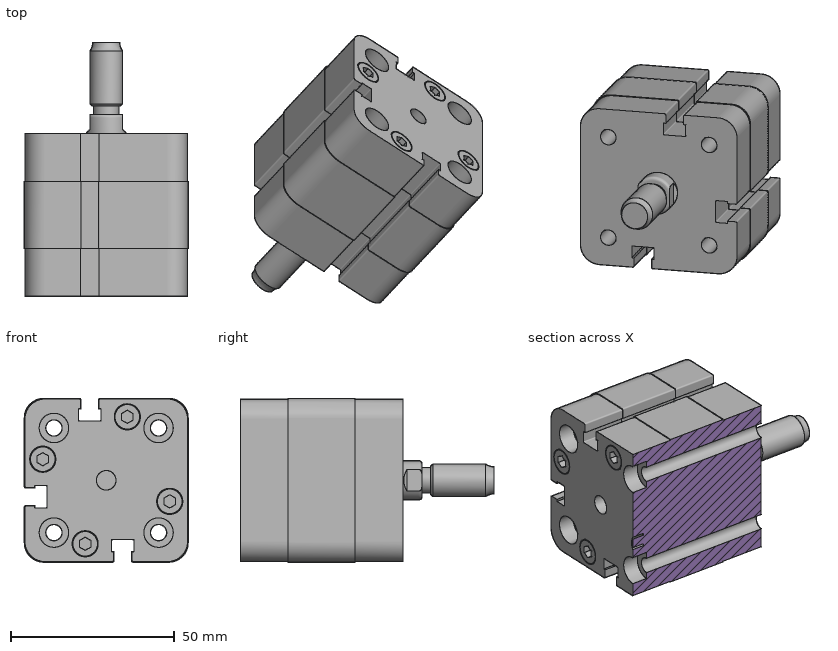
import cadquery as cq
import math

OVERALL_LENGTH = 77.5

BARREL_WIDTH = 50.1
CAP_WIDTH = 49.6
CORNER_RADIUS = 6.05
REAR_CAP_END = 14.6
BARREL_END = 34.95
HOUSING_LENGTH = 49.7

SLOT_OFFSET = 5.0
CAP_NECK_WIDTH = 5.6
CAP_SLOT_WIDTH = 7.0
CAP_FLOOR_HEIGHT = 18.05
BARREL_NECK_WIDTH = 5.4
BARREL_SLOT_WIDTH = 6.8
BARREL_FLOOR_HEIGHT = 18.1
SLOT_SHOULDER_HEIGHT = 21.8
SLOT_MOUTH_RADIUS = 0.5
SLOT_FLOOR_RADIUS = 0.3
SLOT_CLEARANCE = 0.8
SLOT_ANGLES = (0, 90, 180)

MOUNT_SPACING = 31.9
MOUNT_DIAMETER = 4.9
MOUNT_BORE_DIAMETER = 9.0
MOUNT_BORE_DEPTH = 5.3

SCREW_X = 6.4
SCREW_Z = 19.4
SCREW_ANGLES = (0, 90, 180, 270)
SCREW_BORE_DIAMETER = 8.0
SCREW_HEAD_DIAMETER = 7.5
SCREW_HEAD_HEIGHT = 4.0
SOCKET_ACROSS_FLATS = 3.5
SOCKET_DEPTH = 3.0
HALF_FACET = math.pi / 6

CENTRE_HOLE_DIAMETER = 6.0
CENTRE_HOLE_DEPTH = 5.0

ROD_DIAMETER = 12.0
ROD_SHOULDER_Y = 55.5
ROD_ROUNDING = 1.0
FLATS_WIDTH = 10.0
FLATS_START_Y = 50.9
NECK_DIAMETER = 7.9
THREAD_DIAMETER = 10.0
THREAD_START_Y = 58.05
THREAD_CHAMFER = 0.7
THREAD_END_Y = 74.9
TIP_DIAMETER = 8.3
TIP_HOLLOW = 0.2


def prism(outline, start, end):
    """Extrude an outline drawn in the XZ plane from y = start to y = end."""
    return outline.extrude(start - end).translate((0, start, 0))


def sketch():
    return cq.Workplane("XZ")


def turned(shape, angle):
    """Turn a shape about the rod axis, from +Z towards -X."""
    return shape.rotate((0, 0, 0), (0, 1, 0), -angle)


def housing_block(width, start, end):
    block = prism(sketch().rect(width, width), start, end)
    return block.edges("|Y").fillet(CORNER_RADIUS)


def slot_cutter(face, neck_width, slot_width, floor, start, end):
    """T-slot with a rounded mouth, entering from a top face at z = face down to z = floor."""
    above = face + SLOT_CLEARANCE
    neck = neck_width / 2
    mouth = neck + SLOT_MOUTH_RADIUS
    opening = (
        sketch()
        .moveTo(-mouth, above)
        .lineTo(-mouth, face)
        .radiusArc((-neck, face - SLOT_MOUTH_RADIUS), SLOT_MOUTH_RADIUS)
        .lineTo(-neck, floor + SLOT_FLOOR_RADIUS)
        .lineTo(neck, floor + SLOT_FLOOR_RADIUS)
        .lineTo(neck, face - SLOT_MOUTH_RADIUS)
        .radiusArc((mouth, face), SLOT_MOUTH_RADIUS)
        .lineTo(mouth, above)
        .close()
    )
    channel_height = SLOT_SHOULDER_HEIGHT - floor
    channel_centre = floor + channel_height / 2
    channel = prism(sketch().center(0, channel_centre).rect(slot_width, channel_height), start, end)
    channel = channel.faces("<Z").edges("|Y").fillet(SLOT_FLOOR_RADIUS)
    return prism(opening, start, end).union(channel).translate((-SLOT_OFFSET, 0, 0))


def housing_section(block, cutter):
    for angle in SLOT_ANGLES:
        block = block.cut(turned(cutter, angle))
    return block


def cap(start, end):
    cutter = slot_cutter(CAP_WIDTH / 2, CAP_NECK_WIDTH, CAP_SLOT_WIDTH, CAP_FLOOR_HEIGHT, start, end)
    return housing_section(housing_block(CAP_WIDTH, start, end), cutter)


def barrel(start, end):
    cutter = slot_cutter(
        BARREL_WIDTH / 2, BARREL_NECK_WIDTH, BARREL_SLOT_WIDTH, BARREL_FLOOR_HEIGHT, start, end
    )
    return housing_section(housing_block(BARREL_WIDTH, start, end), cutter)


def mounting_holes():
    def corners():
        return sketch().rect(MOUNT_SPACING, MOUNT_SPACING, forConstruction=True).vertices()

    through = prism(corners().circle(MOUNT_DIAMETER / 2), 0, HOUSING_LENGTH)
    bores = prism(corners().circle(MOUNT_BORE_DIAMETER / 2), 0, MOUNT_BORE_DEPTH)
    return through.union(bores)


def screw_ring():
    """Clearance ring around a flush screw head."""
    rim = sketch().center(SCREW_X, SCREW_Z).circle(SCREW_BORE_DIAMETER / 2).circle(SCREW_HEAD_DIAMETER / 2)
    return prism(rim, 0, SCREW_HEAD_HEIGHT)


def screw_socket(angle):
    """Hexagon socket of the screw at the given angle, always with one corner pointing up."""
    turn = math.radians(angle)
    x = SCREW_X * math.cos(turn) - SCREW_Z * math.sin(turn)
    z = SCREW_X * math.sin(turn) + SCREW_Z * math.cos(turn)
    across_corners = SOCKET_ACROSS_FLATS / math.cos(HALF_FACET)
    hexagon = sketch().polygon(6, across_corners)
    return turned(prism(hexagon, 0, SOCKET_DEPTH), math.degrees(HALF_FACET)).translate((x, 0, z))


def piston_rod():
    rod = ROD_DIAMETER / 2
    neck = NECK_DIAMETER / 2
    thread = THREAD_DIAMETER / 2
    tip = TIP_DIAMETER / 2
    tip_middle = ((thread + tip) / 2 - TIP_HOLLOW, (THREAD_END_Y + OVERALL_LENGTH) / 2)
    return (
        cq.Workplane("XY")
        .moveTo(0, BARREL_END)
        .lineTo(rod, BARREL_END)
        .lineTo(rod, ROD_SHOULDER_Y - ROD_ROUNDING)
        .radiusArc((rod - ROD_ROUNDING, ROD_SHOULDER_Y), -ROD_ROUNDING)
        .lineTo(neck, ROD_SHOULDER_Y)
        .lineTo(neck, THREAD_START_Y)
        .lineTo(thread - THREAD_CHAMFER, THREAD_START_Y)
        .lineTo(thread, THREAD_START_Y + THREAD_CHAMFER)
        .lineTo(thread, THREAD_END_Y)
        .threePointArc(tip_middle, (tip, OVERALL_LENGTH))
        .lineTo(0, OVERALL_LENGTH)
        .close()
        .revolve(360, (0, 0, 0), (0, 1, 0))
    )


def wrench_flat():
    """Cutter for the flat on the +X side of the rod, running out at 45 degrees."""
    flat = FLATS_WIDTH / 2
    runout = (ROD_DIAMETER - FLATS_WIDTH) / 2
    profile = (
        cq.Workplane("XY")
        .moveTo(flat, ROD_SHOULDER_Y)
        .lineTo(flat, FLATS_START_Y)
        .lineTo(flat + runout, FLATS_START_Y - runout)
        .lineTo(flat + runout, ROD_SHOULDER_Y)
        .close()
    )
    return profile.extrude(ROD_DIAMETER / 2, both=True)


result = (
    cap(0, REAR_CAP_END)
    .union(barrel(REAR_CAP_END, BARREL_END))
    .union(cap(BARREL_END, HOUSING_LENGTH))
)

flat_cutter = wrench_flat()
rod = piston_rod().cut(flat_cutter).cut(flat_cutter.mirror("YZ"))
result = result.union(rod)

result = result.cut(mounting_holes())
result = result.cut(prism(sketch().circle(CENTRE_HOLE_DIAMETER / 2), 0, CENTRE_HOLE_DEPTH))
ring = screw_ring()
for angle in SCREW_ANGLES:
    result = result.cut(turned(ring, angle)).cut(screw_socket(angle))